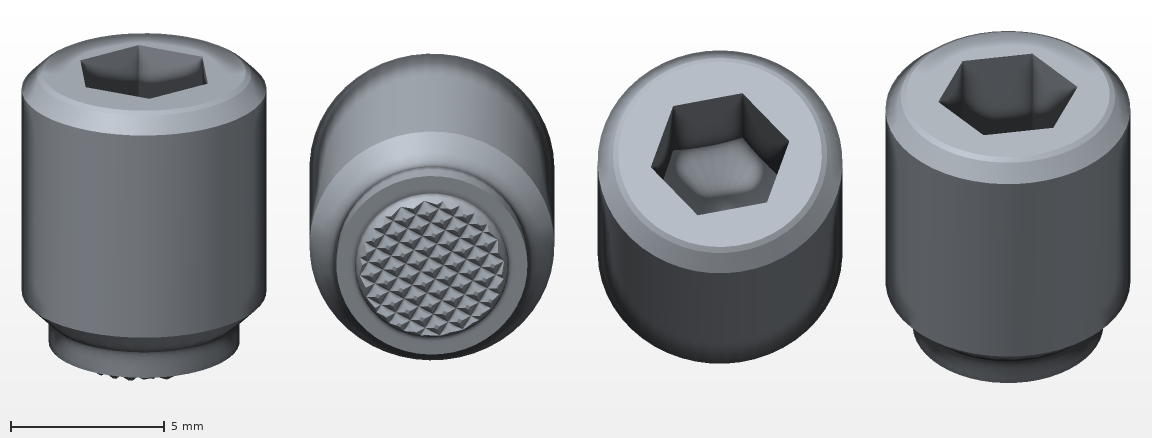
import cadquery as cq
import math

SCREW_RADIUS = 4.0
SCREW_TOP = 10.0
TOP_CHAMFER = 0.5
RIM_HEIGHT = 0.1
RIM_SLOPE = 30.0
NOSE_RADIUS = 3.12
NOSE_BOTTOM = 0.48
NOSE_TOP = 1.38

HEX_ACROSS_FLATS = 4.0
HEX_DEPTH = 3.5
DRILL_POINT_ANGLE = 120.0

BALL_RADIUS = 2.75
BALL_CENTRE_Z = 1.6
GROOVE_PITCH = 0.55
GROOVE_DEPTH = 0.21
GROOVE_ANGLE = 90.0
GROOVE_COUNT = 8

shoulder_z = NOSE_TOP + SCREW_RADIUS - NOSE_RADIUS
rim_z = SCREW_TOP - RIM_HEIGHT
rim_outer_radius = SCREW_RADIUS - TOP_CHAMFER
rim_inner_radius = rim_outer_radius - RIM_HEIGHT / math.tan(math.radians(RIM_SLOPE))
hex_corner_radius = HEX_ACROSS_FLATS / math.sqrt(3)
drill_point_height = hex_corner_radius / math.tan(math.radians(DRILL_POINT_ANGLE / 2))
groove_half_width = GROOVE_DEPTH * math.tan(math.radians(GROOVE_ANGLE / 2))


def make_sphere():
    """Full sphere that shapes both the ball and its seat."""
    return cq.Workplane("XY").sphere(BALL_RADIUS).translate((0, 0, BALL_CENTRE_Z))


def make_hex_socket():
    """Hexagonal prism with its corners on X, ended by a cone that meets the corners."""
    socket_floor_z = SCREW_TOP - HEX_DEPTH
    drill_tip_z = socket_floor_z - drill_point_height
    prism = (
        cq.Workplane("XY")
        .workplane(offset=drill_tip_z)
        .polygon(6, 2 * hex_corner_radius)
        .extrude(SCREW_TOP - drill_tip_z)
    )
    drill = (
        cq.Workplane("XZ")
        .moveTo(0, drill_tip_z)
        .lineTo(hex_corner_radius, socket_floor_z)
        .lineTo(hex_corner_radius, SCREW_TOP)
        .lineTo(0, SCREW_TOP)
        .close()
        .revolve()
    )
    return prism.intersect(drill)


def make_screw():
    """Turned screw with a two-step top bevel, a hexagon socket and a spherical ball seat."""
    blank = (
        cq.Workplane("XZ")
        .moveTo(0, NOSE_BOTTOM)
        .lineTo(NOSE_RADIUS, NOSE_BOTTOM)
        .lineTo(NOSE_RADIUS, NOSE_TOP)
        .lineTo(SCREW_RADIUS, shoulder_z)
        .lineTo(SCREW_RADIUS, rim_z - TOP_CHAMFER)
        .lineTo(rim_outer_radius, rim_z)
        .lineTo(rim_inner_radius, SCREW_TOP)
        .lineTo(0, SCREW_TOP)
        .close()
        .revolve()
    )
    return blank.cut(make_hex_socket()).cut(make_sphere())


def make_groove(offset):
    """V-groove cutter along Y in the underside of the ball, centred at X = offset."""
    return (
        cq.Workplane("XZ")
        .moveTo(offset - groove_half_width, 0)
        .lineTo(offset + groove_half_width, 0)
        .lineTo(offset, GROOVE_DEPTH)
        .close()
        .extrude(BALL_RADIUS, both=True)
    )


def make_ball():
    """Ball cut flat at Z = 0 and serrated by two crossing sets of V-grooves."""
    below_flat = (
        cq.Workplane("XY")
        .workplane(offset=-BALL_RADIUS)
        .rect(2 * BALL_RADIUS, 2 * BALL_RADIUS)
        .extrude(BALL_RADIUS)
    )
    ball = make_sphere().cut(below_flat)
    for index in range(GROOVE_COUNT):
        groove = make_groove((index - (GROOVE_COUNT - 1) / 2) * GROOVE_PITCH)
        ball = ball.cut(groove)
        ball = ball.cut(groove.rotate((0, 0, 0), (0, 0, 1), 90))
    return ball


screw = make_screw()
ball = make_ball()

result = cq.Compound.makeCompound([screw.solids().val(), ball.solids().val()])